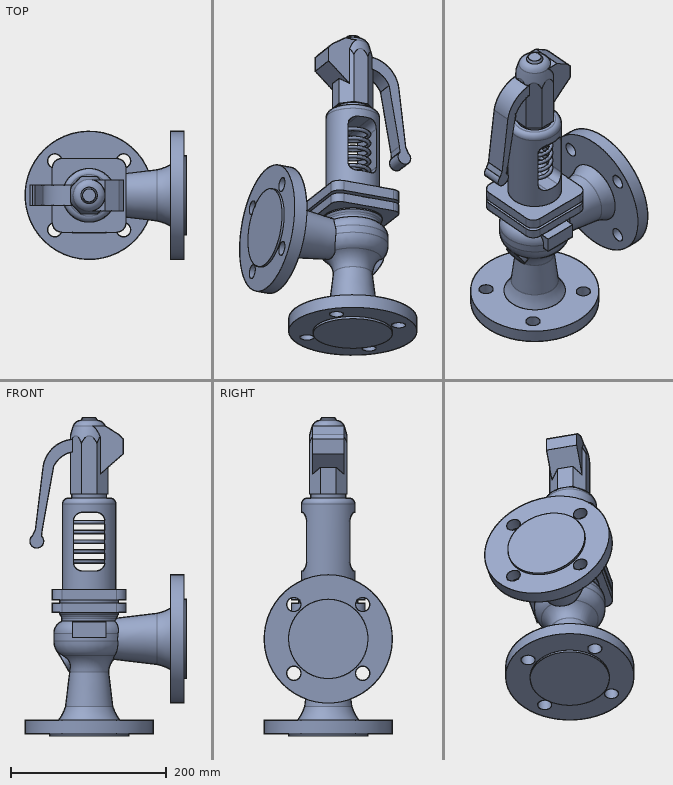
import cadquery as cq
import math

TOTAL_HEIGHT = 409.5
OUTLET_CENTRE_HEIGHT = 125.0
OUTLET_FACE_X = 125.0

FLANGE_DIAMETER = 165.0
RAISED_FACE_DIAMETER = 102.0
RAISED_FACE_HEIGHT = 3.0
FLANGE_BACK = 20.5
BOLT_CIRCLE = 125.0
BOLT_HOLE_DIAMETER = 18.0
BOLT_COUNT = 4
FLARE_RADIUS_AT_FLANGE = 39.5
FLARE_END = 38.0
FLARE_SAGITTA = 0.8
INLET_NECK_RADIUS = 30.5
OUTLET_NECK_RADIUS = 33.0
NECK_TAPER = 0.12

THROAT_Z = 82.5
BULB_INFLECTION = (36.5, 103.8)
BULB_RADIUS = 45.5
BULB_BELT = (122.0, 132.0)
BULB_UPPER_ARC_RADIUS = 17.7
COLLAR_RADIUS = 35.5
COLLAR_Z = (147.7, 151.5)
COLLAR_SHOULDER = (36.2, 154.0)
JOINT_RADIUS = 38.0
JOINT_SPIGOT_Z = 157.3

JOINT_WIDTH = 95.0
JOINT_CORNER_RADIUS = 12.5
LOWER_JOINT_Z = (159.0, 171.0)
UPPER_JOINT_Z = (175.0, 188.5)

BONNET_RADIUS = 34.5
BONNET_TOP = 306.0
BONNET_ROUNDING = 7.8
WINDOW_WIDTH = 40.0
WINDOW_HEIGHT = 75.0
WINDOW_CENTRE_Z = 250.0
WINDOW_CORNER_RADIUS = 11.0
COIL_COUNT = 5
COIL_PITCH = 12.6
SPRING_CENTRE_Z = 249.8
COIL_RADIUS = 21.0
WIRE_RADIUS = 2.4

CAP_SEAT_RADIUS = 22.5
CAP_BOTTOM = 311.0
CAP_ACROSS_FLATS = 48.5
CAP_SIDES = 8
DOME_FLAT_Z = 384.0
DOME_SHOULDER = (20.5, 398.8)
DOME_TOP = (10.5, 406.0)
DOME_SIDE_SAGITTA = 0.5
DOME_TOP_SAGITTA = 1.8
BUTTON_TOP_RADIUS = 8.4

LEVER_WIDTH = 26.0
LEVER_KNOB = (-67.3, 250.6)
LEVER_KNOB_RADIUS = 9.0
LEVER_ROOT_X = -15.0
LEVER_TOP_Z = 381.3
LEVER_OUTER_BEND_START_X = -24.2
LEVER_OUTER_BEND_MIDDLE = (-47.1, 370.0)
LEVER_OUTER_BEND_END = (-59.3, 346.6)
LEVER_OUTER_NECK = (-69.3, 265.0)
LEVER_OUTER_NECK_FOOT = (-73.0, 257.5)
LEVER_INNER_BEND_START = (-21.8, 365.2)
LEVER_INNER_BEND_MIDDLE = (-37.5, 357.3)
LEVER_INNER_BEND_END = (-45.5, 346.7)
LEVER_INNER_NECK = (-60.2, 265.0)
LEVER_INNER_NECK_FOOT = (-61.0, 257.5)

CAM_WIDTH = 40.0
CAM_TOP_END_X = 20.6
CAM_NOSE_SHOULDER = (38.5, 387.5)
CAM_NOSE_X = 44.0
CAM_NOSE_TOP_Z = 381.7
CAM_NOSE_BOTTOM_Z = 362.8
CAM_HEEL = (14.3, 336.8)

PAD_WIDTH = 43.0
PAD_Z = (126.8, 147.0)
PAD_FACE_Y = -48.5
DRAIN_DIAMETER = 30.0
DRAIN_FACE_CENTRE = (-33.5, 96.0)
DRAIN_TILT = 30.0


def disc(radius, bottom, top):
    return cq.Workplane("XY").workplane(offset=bottom).circle(radius).extrude(top - bottom)


def flanged_neck(neck_radius, length):
    """Flange with bolt holes, flare and tapered neck rising along +Z from a sealing face at Z = 0."""
    end_radius = neck_radius - NECK_TAPER * (length - FLARE_END)
    neck = (
        cq.Workplane("XZ")
        .lineTo(RAISED_FACE_DIAMETER / 2, 0)
        .lineTo(RAISED_FACE_DIAMETER / 2, RAISED_FACE_HEIGHT)
        .lineTo(FLANGE_DIAMETER / 2, RAISED_FACE_HEIGHT)
        .lineTo(FLANGE_DIAMETER / 2, FLANGE_BACK)
        .lineTo(FLARE_RADIUS_AT_FLANGE, FLANGE_BACK)
        .sagittaArc((neck_radius, FLARE_END), FLARE_SAGITTA)
        .lineTo(end_radius, length)
        .lineTo(0, length)
        .close()
        .revolve(360, (0, 0, 0), (0, 1, 0))
    )
    holes = (
        cq.Workplane("XY")
        .polarArray(BOLT_CIRCLE / 2, 180 / BOLT_COUNT, 360, BOLT_COUNT)
        .circle(BOLT_HOLE_DIAMETER / 2)
        .extrude(FLANGE_BACK)
    )
    return neck.cut(holes)


def outlet():
    neck = flanged_neck(OUTLET_NECK_RADIUS, OUTLET_FACE_X)
    neck = neck.rotate((0, 0, 0), (0, 1, 0), -90)
    return neck.translate((OUTLET_FACE_X, 0, OUTLET_CENTRE_HEIGHT))


def bulb():
    throat_radius = INLET_NECK_RADIUS - NECK_TAPER * (THROAT_Z - FLARE_END)
    belt_bottom, belt_top = BULB_BELT
    collar_bottom, collar_top = COLLAR_Z
    joint_underside = LOWER_JOINT_Z[0]
    return (
        cq.Workplane("XZ")
        .moveTo(0, joint_underside)
        .lineTo(JOINT_RADIUS, joint_underside)
        .lineTo(JOINT_RADIUS, JOINT_SPIGOT_Z)
        .lineTo(*COLLAR_SHOULDER)
        .lineTo(COLLAR_RADIUS, collar_top)
        .lineTo(COLLAR_RADIUS, collar_bottom)
        .radiusArc((BULB_RADIUS, belt_top), BULB_UPPER_ARC_RADIUS)
        .lineTo(BULB_RADIUS, belt_bottom)
        .tangentArcPoint(BULB_INFLECTION, relative=False)
        .tangentArcPoint((throat_radius, THROAT_Z), relative=False)
        .lineTo(0, THROAT_Z)
        .close()
        .revolve(360, (0, 0, 0), (0, 1, 0))
    )


def joint_plate(z_range):
    bottom, top = z_range
    return (
        cq.Workplane("XY")
        .workplane(offset=bottom)
        .rect(JOINT_WIDTH, JOINT_WIDTH)
        .extrude(top - bottom)
        .edges("|Z")
        .fillet(JOINT_CORNER_RADIUS)
    )


def bolted_joint():
    gasket = disc(JOINT_RADIUS, LOWER_JOINT_Z[1], UPPER_JOINT_Z[0])
    return joint_plate(LOWER_JOINT_Z).union(gasket).union(joint_plate(UPPER_JOINT_Z))


def bonnet():
    body = disc(BONNET_RADIUS, UPPER_JOINT_Z[1], BONNET_TOP).faces(">Z").edges().fillet(BONNET_ROUNDING)
    window = (
        cq.Workplane("XY")
        .box(WINDOW_WIDTH, 2 * BONNET_RADIUS, WINDOW_HEIGHT)
        .edges("|Y")
        .fillet(WINDOW_CORNER_RADIUS)
        .translate((0, 0, WINDOW_CENTRE_Z))
    )
    body = body.cut(window)
    for index in range(COIL_COUNT):
        z = SPRING_CENTRE_Z + (index - (COIL_COUNT - 1) / 2) * COIL_PITCH
        coil = cq.Solid.makeTorus(COIL_RADIUS, WIRE_RADIUS, cq.Vector(0, 0, z), cq.Vector(0, 0, 1))
        body = body.union(cq.Workplane(obj=coil))
    return body


def cap():
    corner_diameter = CAP_ACROSS_FLATS / math.cos(math.pi / CAP_SIDES)
    octagon = (
        cq.Workplane("XY")
        .workplane(offset=CAP_BOTTOM)
        .polygon(CAP_SIDES, corner_diameter)
        .extrude(TOTAL_HEIGHT - CAP_BOTTOM)
        .rotate((0, 0, 0), (0, 0, 1), 180 / CAP_SIDES)
    )
    flat_radius = CAP_ACROSS_FLATS / 2
    shoulder_radius, shoulder_z = DOME_SHOULDER
    slope = (flat_radius - shoulder_radius) / (shoulder_z - DOME_FLAT_Z)
    skirt_z = DOME_FLAT_Z - (corner_diameter / 2 - flat_radius) / slope
    envelope = (
        cq.Workplane("XZ")
        .moveTo(0, CAP_BOTTOM)
        .lineTo(corner_diameter / 2, CAP_BOTTOM)
        .lineTo(corner_diameter / 2, skirt_z)
        .sagittaArc(DOME_SHOULDER, -DOME_SIDE_SAGITTA)
        .sagittaArc(DOME_TOP, -DOME_TOP_SAGITTA)
        .lineTo(BUTTON_TOP_RADIUS, TOTAL_HEIGHT)
        .lineTo(0, TOTAL_HEIGHT)
        .close()
        .revolve(360, (0, 0, 0), (0, 1, 0))
    )
    seat = disc(CAP_SEAT_RADIUS, BONNET_TOP, CAP_BOTTOM)
    return octagon.intersect(envelope).union(seat)


def lever():
    arm = (
        cq.Workplane("XZ")
        .moveTo(LEVER_ROOT_X, LEVER_TOP_Z)
        .lineTo(LEVER_OUTER_BEND_START_X, LEVER_TOP_Z)
        .threePointArc(LEVER_OUTER_BEND_MIDDLE, LEVER_OUTER_BEND_END)
        .lineTo(*LEVER_OUTER_NECK)
        .lineTo(*LEVER_OUTER_NECK_FOOT)
        .lineTo(*LEVER_KNOB)
        .lineTo(*LEVER_INNER_NECK_FOOT)
        .lineTo(*LEVER_INNER_NECK)
        .lineTo(*LEVER_INNER_BEND_END)
        .threePointArc(LEVER_INNER_BEND_MIDDLE, LEVER_INNER_BEND_START)
        .lineTo(LEVER_ROOT_X, LEVER_INNER_BEND_START[1])
        .close()
        .extrude(LEVER_WIDTH / 2, both=True)
    )
    knob = (
        cq.Workplane("XZ")
        .center(*LEVER_KNOB)
        .circle(LEVER_KNOB_RADIUS)
        .extrude(LEVER_WIDTH / 2, both=True)
    )
    return arm.union(knob)


def cam_housing():
    shoulder_z = DOME_SHOULDER[1]
    return (
        cq.Workplane("XZ")
        .moveTo(0, shoulder_z)
        .lineTo(CAM_TOP_END_X, shoulder_z)
        .lineTo(*CAM_NOSE_SHOULDER)
        .lineTo(CAM_NOSE_X, CAM_NOSE_TOP_Z)
        .lineTo(CAM_NOSE_X, CAM_NOSE_BOTTOM_Z)
        .lineTo(*CAM_HEEL)
        .lineTo(0, CAM_HEEL[1])
        .close()
        .extrude(CAM_WIDTH / 2, both=True)
    )


def name_plate_pad():
    bottom, top = PAD_Z
    return (
        cq.Workplane("XY")
        .box(PAD_WIDTH, -PAD_FACE_Y, top - bottom, centered=(True, False, False))
        .translate((0, PAD_FACE_Y, bottom))
    )


def drain_boss():
    x, z = DRAIN_FACE_CENTRE
    tilt = math.radians(DRAIN_TILT)
    inward = cq.Vector(math.cos(tilt), 0, math.sin(tilt))
    boss = cq.Solid.makeCylinder(DRAIN_DIAMETER / 2, DRAIN_DIAMETER, cq.Vector(x, 0, z), inward)
    return cq.Workplane(obj=boss)


result = flanged_neck(INLET_NECK_RADIUS, THROAT_Z)
for piece in (
    bulb(),
    outlet(),
    name_plate_pad(),
    drain_boss(),
    bolted_joint(),
    bonnet(),
    cap(),
    lever(),
    cam_housing(),
):
    result = result.union(piece)